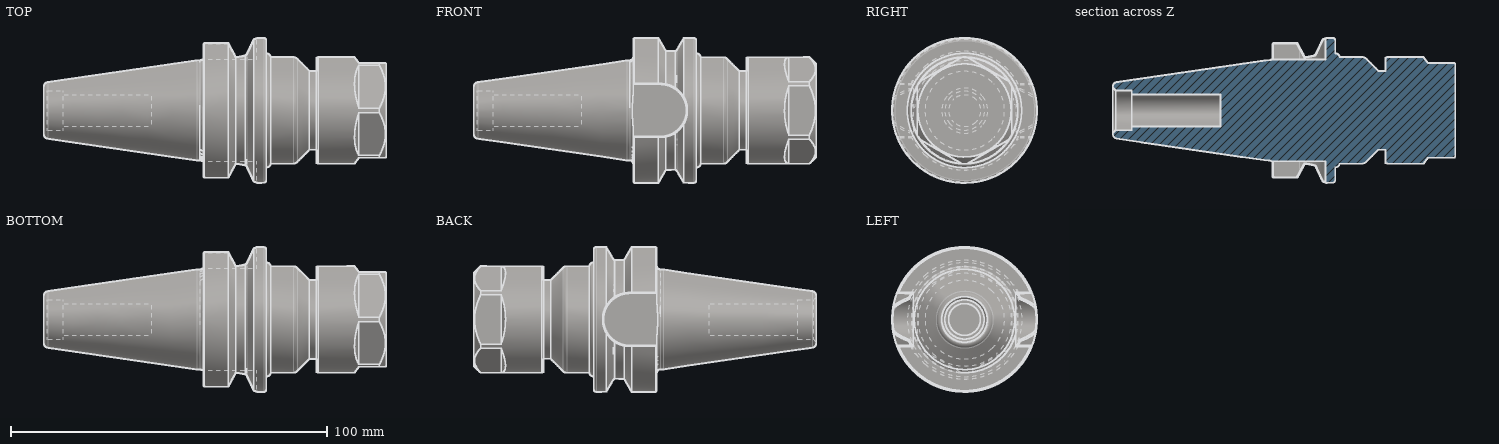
import cadquery as cq
import math

total_length = 108.4
gauge_x = 48.5
flange_face_x = 50.4
rear_ring_end_x = 58.4
front_ring_start_x = 66.5
flange_end_x = 70.5
shoulder_end_x = 71.9
body_cone_x = 79.7
nut_start_x = 86.3

gauge_diameter = 31.8
flange_diameter = 46.0
groove_diameter = 37.7
shoulder_diameter = 36.2
body_diameter = 33.8
neck_diameter = 25.0
nut_diameter = 33.8

taper_ratio = 7 / 24
nose_round = 1.5
gauge_fillet = 1.0
flange_chamfer = 0.4
flange_round = 0.9
groove_flank_angle = math.radians(60)
groove_fillet = 0.4
shoulder_round = 1.5
body_round = 1.7
body_cone_angle = math.radians(45)

slot_half_width = 8.2
slot_end_x = 67.3
slot_floor_y = 16.2
slot_chamfer = 0.3
slot_arc_center_x = slot_end_x - slot_half_width
tolerance = 0.001

bore_diameter = 12.5
thread_diameter = 10.1
bore_mouth_chamfer = 1.0
bore_depth = 6.0
thread_depth = 34.0

nut_rear_chamfer = 0.7
nut_rear_drop = 0.2
nut_end_chamfer = 2.2
across_flats = 30.0
flat_count = 6
flat_start_x = 99.7
runout_length = 1.4


def revolve_about_x(profile):
    return profile.close().revolve(360, (0, 0, 0), (1, 0, 0))


def make_taper():
    gauge_radius = gauge_diameter / 2
    tip_radius = gauge_radius - gauge_x * taper_ratio / 2
    fillet_start_x = flange_face_x - gauge_fillet
    profile = (
        cq.Workplane("XY")
        .lineTo(0, tip_radius)
        .lineTo(gauge_x, gauge_radius)
        .lineTo(fillet_start_x, gauge_radius)
        .radiusArc((flange_face_x, gauge_radius + gauge_fillet), -gauge_fillet)
        .lineTo(flange_face_x, 0)
    )
    return revolve_about_x(profile).faces("<X").edges().fillet(nose_round)


def make_flange():
    outer = flange_diameter / 2
    root = groove_diameter / 2
    flank_run = (outer - root) / math.tan(groove_flank_angle)
    groove_corner_x = front_ring_start_x - flank_run
    bend_run = groove_fillet * math.tan(groove_flank_angle / 2)
    bend_advance = bend_run * math.cos(groove_flank_angle)
    bend_rise = bend_run * math.sin(groove_flank_angle)
    profile = (
        cq.Workplane("XY")
        .moveTo(flange_face_x, 0)
        .lineTo(flange_face_x, outer - flange_chamfer)
        .lineTo(flange_face_x + flange_chamfer, outer)
        .lineTo(rear_ring_end_x, outer)
        .lineTo(rear_ring_end_x + flank_run, root)
        .lineTo(groove_corner_x - bend_run, root)
        .radiusArc((groove_corner_x + bend_advance, root + bend_rise), -groove_fillet)
        .lineTo(front_ring_start_x, outer)
        .lineTo(flange_end_x - flange_round, outer)
        .radiusArc((flange_end_x, outer - flange_round), flange_round)
        .lineTo(flange_end_x, 0)
    )
    return revolve_about_x(profile)


def make_body():
    body_radius = body_diameter / 2
    neck_radius = neck_diameter / 2
    cone_end_x = body_cone_x + (body_radius - neck_radius) / math.tan(body_cone_angle)
    round_run = body_round * math.tan(body_cone_angle / 2)
    round_advance = round_run * math.cos(body_cone_angle)
    round_drop = round_run * math.sin(body_cone_angle)
    profile = (
        cq.Workplane("XY")
        .moveTo(flange_end_x, 0)
        .lineTo(flange_end_x, shoulder_diameter / 2)
        .radiusArc((shoulder_end_x, body_radius), shoulder_round)
        .lineTo(body_cone_x - round_run, body_radius)
        .radiusArc((body_cone_x + round_advance, body_radius - round_drop), body_round)
        .lineTo(cone_end_x, neck_radius)
        .lineTo(nut_start_x, neck_radius)
        .lineTo(nut_start_x, 0)
    )
    return revolve_about_x(profile)


def make_nut():
    nut_radius = nut_diameter / 2
    apothem = across_flats / 2
    profile = (
        cq.Workplane("XY")
        .moveTo(nut_start_x, 0)
        .lineTo(nut_start_x, nut_radius - nut_rear_drop)
        .lineTo(nut_start_x + nut_rear_chamfer, nut_radius)
        .lineTo(total_length - nut_end_chamfer, nut_radius)
        .lineTo(total_length, nut_radius - nut_end_chamfer)
        .lineTo(total_length, 0)
    )
    nut = revolve_about_x(profile)
    cutter = (
        cq.Workplane("XY")
        .moveTo(flat_start_x, apothem)
        .lineTo(flat_start_x - runout_length, nut_radius)
        .lineTo(total_length, nut_radius)
        .lineTo(total_length, apothem)
        .close()
        .extrude(nut_radius, both=True)
    )
    for index in range(flat_count):
        nut = nut.cut(cutter.rotate((0, 0, 0), (1, 0, 0), index * 360 / flat_count))
    return nut


def make_key_slot():
    cut_height = flange_diameter / 2
    return (
        cq.Workplane("XZ", origin=(0, -slot_floor_y, 0))
        .moveTo(gauge_x, -slot_half_width)
        .lineTo(slot_arc_center_x, -slot_half_width)
        .threePointArc((slot_end_x, 0), (slot_arc_center_x, slot_half_width))
        .lineTo(gauge_x, slot_half_width)
        .close()
        .extrude(cut_height)
    )


def is_slot_rim(edge):
    """Tell whether an edge is on the rim of a key slot: on its wall and clear of its floor."""
    middle = edge.positionAt(0.5)
    if abs(middle.y) < slot_floor_y + tolerance or middle.x < flange_face_x - tolerance:
        return False
    if abs(middle.x - slot_arc_center_x) < tolerance:
        return False
    for position in (0, 0.5, 1):
        point = edge.positionAt(position)
        past_center = max(point.x - slot_arc_center_x, 0)
        wall_distance = math.hypot(past_center, point.z)
        if abs(wall_distance - slot_half_width) > tolerance:
            return False
    return True


def cut_key_slots(body):
    slot = make_key_slot()
    slotted = body.cut(slot).cut(slot.rotate((0, 0, 0), (1, 0, 0), 180))
    rim_edges = [edge for edge in slotted.edges().vals() if is_slot_rim(edge)]
    return slotted.newObject(rim_edges).chamfer(slot_chamfer)


def make_bore():
    bore_radius = bore_diameter / 2
    thread_radius = thread_diameter / 2
    profile = (
        cq.Workplane("XY")
        .lineTo(0, bore_radius + bore_mouth_chamfer)
        .lineTo(bore_mouth_chamfer, bore_radius)
        .lineTo(bore_depth, bore_radius)
        .lineTo(bore_depth, thread_radius)
        .lineTo(thread_depth, thread_radius)
        .lineTo(thread_depth, 0)
    )
    return revolve_about_x(profile)


holder = make_taper().union(make_flange()).union(make_body()).union(make_nut())
holder = cut_key_slots(holder)
result = holder.cut(make_bore())